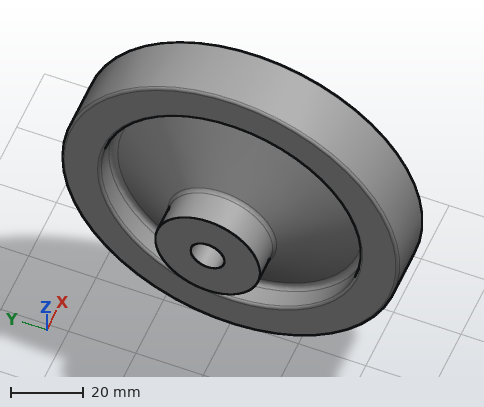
import cadquery as cq

wheel_diameter = 100.0
total_length = 34.0
rim_width = 17.8
rim_edge_fillet = 0.8

hub_diameter = 31.0
bore_diameter = 10.0
hub_length = 10.0
hub_root_fillet = 1.5

recess_diameter = 77.0
recess_lip_fillet = 0.8
cone_end_depth = 25.0
recess_corner_fillet = 1.4

hub_face_x = -total_length / 2
back_x = total_length / 2
rim_face_x = back_x - rim_width
cone_start_x = hub_face_x + hub_length
cone_end_x = hub_face_x + cone_end_depth


def ring_edge(diameter, x):
    """Select the circular edge of the given diameter at position x."""
    tolerance = 0.01
    radius = diameter / 2
    low = (x - tolerance, -radius - tolerance, -radius - tolerance)
    high = (x + tolerance, radius + tolerance, radius + tolerance)
    inner = radius - tolerance
    in_plane = cq.selectors.BoxSelector(low, high, boundingbox=True)
    smaller = cq.selectors.BoxSelector(
        (low[0], -inner, -inner), (high[0], inner, inner), boundingbox=True
    )
    return in_plane - smaller


wheel = (
    cq.Workplane("XY")
    .moveTo(hub_face_x, bore_diameter / 2)
    .lineTo(hub_face_x, hub_diameter / 2)
    .lineTo(cone_start_x, hub_diameter / 2)
    .lineTo(cone_end_x, recess_diameter / 2)
    .lineTo(rim_face_x, recess_diameter / 2)
    .lineTo(rim_face_x, wheel_diameter / 2)
    .lineTo(back_x, wheel_diameter / 2)
    .lineTo(back_x, bore_diameter / 2)
    .close()
    .revolve(360, (0, 0, 0), (1, 0, 0))
)

for rim_x in (rim_face_x, back_x):
    wheel = wheel.edges(ring_edge(wheel_diameter, rim_x)).fillet(rim_edge_fillet)
wheel = wheel.edges(ring_edge(recess_diameter, rim_face_x)).fillet(recess_lip_fillet)
wheel = wheel.edges(ring_edge(hub_diameter, cone_start_x)).fillet(hub_root_fillet)
wheel = wheel.edges(ring_edge(recess_diameter, cone_end_x)).fillet(recess_corner_fillet)

result = wheel